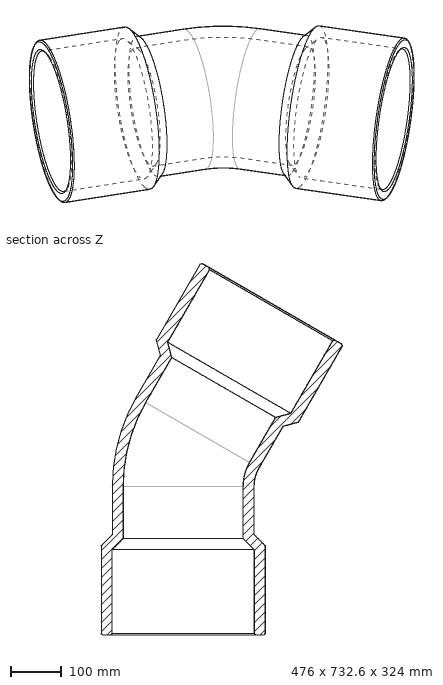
import cadquery as cq
import math

BEND_ANGLE = 30.0
BEND_RADIUS = 212.5
FACE_TO_CORNER = 350.0

PIPE_RADIUS = 140.0
BORE_RADIUS = 118.0
SOCKET_RADIUS = 162.0
SOCKET_BORE_RADIUS = PIPE_RADIUS

SOCKET_LENGTH = 176.3
SOCKET_DEPTH = 168.5
OUTER_TAPER = SOCKET_RADIUS - PIPE_RADIUS
INNER_TAPER = SOCKET_BORE_RADIUS - BORE_RADIUS

RIM_CHAMFER_RADIAL = 3.0
RIM_CHAMFER_AXIAL = 2.57
LIP_CHAMFER = 3.5

CORNER_TO_BEND = BEND_RADIUS * math.tan(math.radians(BEND_ANGLE / 2))
LEG_LENGTH = FACE_TO_CORNER - CORNER_TO_BEND


def make_leg():
    """Socket and straight pipe along Y: bend joint at Y = 0, socket face at Y = -LEG_LENGTH."""
    face = -LEG_LENGTH
    profile = [
        (BORE_RADIUS, 0),
        (PIPE_RADIUS, 0),
        (PIPE_RADIUS, face + SOCKET_LENGTH + OUTER_TAPER),
        (SOCKET_RADIUS, face + SOCKET_LENGTH),
        (SOCKET_RADIUS, face + RIM_CHAMFER_AXIAL),
        (SOCKET_RADIUS - RIM_CHAMFER_RADIAL, face),
        (SOCKET_BORE_RADIUS + LIP_CHAMFER, face),
        (SOCKET_BORE_RADIUS, face + LIP_CHAMFER),
        (SOCKET_BORE_RADIUS, face + SOCKET_DEPTH),
        (BORE_RADIUS, face + SOCKET_DEPTH + INNER_TAPER),
    ]
    return cq.Workplane("XY").polyline(profile).close().revolve(360, (0, 0, 0), (0, 1, 0))


def make_bend():
    """Pipe wall swept clockwise about the vertical axis through (BEND_RADIUS, 0)."""
    wall = cq.Workplane("XZ").circle(PIPE_RADIUS).circle(BORE_RADIUS)
    return wall.revolve(BEND_ANGLE, (BEND_RADIUS, 0, 0), (BEND_RADIUS, -1, 0))


def make_far_leg(near_leg):
    """Near leg mirrored across Y = 0, then swung about the bend axis to the far end of the bend."""
    bend_axis_start = (BEND_RADIUS, 0, 0)
    bend_axis_end = (BEND_RADIUS, 0, 1)
    mirrored_leg = near_leg.mirror("XZ")
    return mirrored_leg.rotate(bend_axis_start, bend_axis_end, -BEND_ANGLE)


near_leg = make_leg()
result = near_leg.union(make_bend()).union(make_far_leg(near_leg))